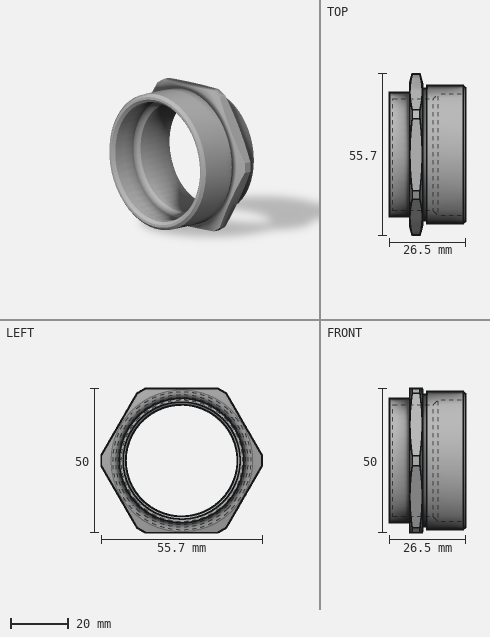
import cadquery as cq
import math

sleeve_length = 7.0
flange_width = 4.5
undercut_width = 1.5
thread_length = 13.5
flange_start = sleeve_length
flange_end = flange_start + flange_width
thread_start = flange_end + undercut_width
total_length = thread_start + thread_length

sleeve_diameter = 43.0
thread_diameter = 47.8
thread_chamfer = 1.0
undercut_diameter = thread_diameter - 2 * thread_chamfer

hex_sides = 6
across_flats = 50.0
across_corners = across_flats / math.cos(math.pi / hex_sides)
corner_chamfer = 2.0
flange_face_diameter = 49.0
flange_face_angle = 15.0

bore_diameter = 38.5
mouth_chamfer = 1.0
bore_cone_start = 15.0
wide_bore_diameter = 42.0
exit_chamfer = 1.0


def cylinder(diameter, start, length):
    """Cylinder around the X axis, from start towards +X."""
    return cq.Workplane("YZ", origin=(start, 0, 0)).circle(diameter / 2).extrude(length)


def hex_flange():
    """Hexagon with flats facing +Z and -Z, cut corners and coned faces."""
    hexagon = (
        cq.Workplane("YZ", origin=(flange_start, 0, 0))
        .polygon(hex_sides, across_corners)
        .extrude(flange_width)
        .edges("|X")
        .chamfer(corner_chamfer)
    )
    face_radius = flange_face_diameter / 2
    outer_radius = across_corners / 2
    cone_depth = (outer_radius - face_radius) * math.tan(math.radians(flange_face_angle))
    double_cone = (
        cq.Workplane("XY")
        .moveTo(flange_start, 0)
        .lineTo(flange_start, face_radius)
        .lineTo(flange_start + cone_depth, outer_radius)
        .lineTo(flange_end - cone_depth, outer_radius)
        .lineTo(flange_end, face_radius)
        .lineTo(flange_end, 0)
        .close()
        .revolve(360, (0, 0, 0), (1, 0, 0))
    )
    return hexagon.intersect(double_cone)


def threaded_end():
    """Cylinder at thread diameter with a chamfered free end."""
    return cylinder(thread_diameter, thread_start, thread_length).faces(">X").chamfer(thread_chamfer)


def bore():
    """Tool body for the through bore; every slope is 45 degrees."""
    radius = bore_diameter / 2
    wide_radius = wide_bore_diameter / 2
    bore_cone_end = bore_cone_start + wide_radius - radius
    return (
        cq.Workplane("XY")
        .lineTo(0, radius + mouth_chamfer)
        .lineTo(mouth_chamfer, radius)
        .lineTo(bore_cone_start, radius)
        .lineTo(bore_cone_end, wide_radius)
        .lineTo(total_length - exit_chamfer, wide_radius)
        .lineTo(total_length, wide_radius + exit_chamfer)
        .lineTo(total_length, 0)
        .close()
        .revolve(360, (0, 0, 0), (1, 0, 0))
    )


sleeve = cylinder(sleeve_diameter, 0, sleeve_length)
undercut = cylinder(undercut_diameter, flange_end, undercut_width)
result = sleeve.union(hex_flange()).union(undercut).union(threaded_end()).cut(bore())